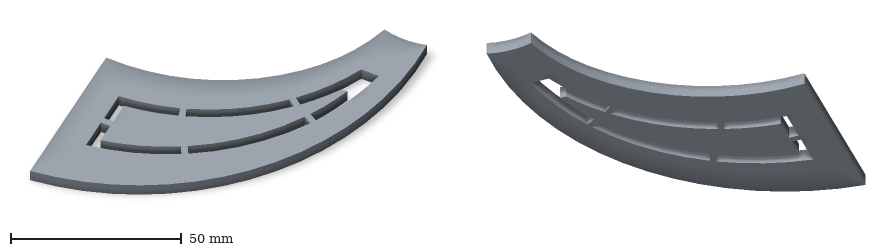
import cadquery as cq
import math

height = 96.2
thickness = 4.0
left_edge_top = 50.0

top_end_left = 68.0
top_end_right = 81.9
notch_radius = 24.6

outer_arc_radius = 91.7

inner_arc_joint = (53.6, 71.0)
inner_arc_top_radius = 57.3
inner_arc_left_radius = 69.7

upper_arc_center = (5.3, 107.6)
upper_arc_radius = 69.8
lower_arc_center = (-1.5, 93.1)
lower_arc_radius = 77.5
window_left = 10.1
window_top = 79.0

gap = 3.0
island_top = 69.45

bridge_width = 2.0
bridge_length = 1.6 * gap
left_bridge_y = 27.3
upper_bridges = [(-70.0, -72.0), (-43.2, -37.5)]
lower_bridge_angles = [-59.7, -30.1]


def disc(center, radius):
    return cq.Workplane("XY").center(*center).circle(radius).extrude(thickness)


def crescent(left, top, upper_radius, lower_radius):
    """Region inside the lower arc and outside the upper one, right of left and below top."""
    limits = cq.Workplane("XY").box(top_end_right - left, top, thickness, centered=False)
    limits = limits.translate((left, 0, 0))
    return limits.intersect(disc(lower_arc_center, lower_radius)).cut(disc(upper_arc_center, upper_radius))


def bridge(x, y, tilt):
    bar = cq.Workplane("XY").box(bridge_length, bridge_width, thickness, centered=(True, True, False))
    return bar.rotate((0, 0, 0), (0, 0, 1), tilt).translate((x, y, 0))


def bridge_on_arc(center, radius, angle, tilt):
    x = center[0] + radius * math.cos(math.radians(angle))
    y = center[1] + radius * math.sin(math.radians(angle))
    return bridge(x, y, tilt)


plate = (
    cq.Workplane("XY")
    .moveTo(0, 0)
    .radiusArc((top_end_right, height), -outer_arc_radius)
    .radiusArc((top_end_left, height), notch_radius)
    .radiusArc(inner_arc_joint, inner_arc_top_radius)
    .radiusArc((0, left_edge_top), inner_arc_left_radius)
    .close()
    .extrude(thickness)
)

window = crescent(window_left, window_top, upper_arc_radius, lower_arc_radius)
island = crescent(window_left + gap, island_top, upper_arc_radius + gap, lower_arc_radius - gap)
slots = window.cut(island)

slots = slots.cut(bridge(window_left + gap / 2, left_bridge_y, 0))
for angle, tilt in upper_bridges:
    slots = slots.cut(bridge_on_arc(upper_arc_center, upper_arc_radius + gap / 2, angle, tilt))
for angle in lower_bridge_angles:
    slots = slots.cut(bridge_on_arc(lower_arc_center, lower_arc_radius - gap / 2, angle, angle))

result = plate.cut(slots)